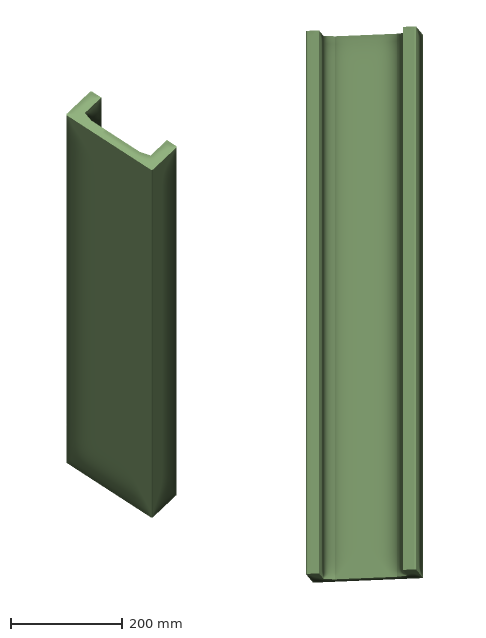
import cadquery as cq

width = 201.0
depth = 71.0
length = 1000.0

flange_thickness = 24.0
web_thickness = 19.0
outer_radius = 3.0
haunch_run = 20.0
haunch_rise = 6.0

half_width = width / 2
inner_half_width = half_width - flange_thickness
floor_half_width = inner_half_width - haunch_run
front_y = -depth / 2
back_y = depth / 2
floor_y = front_y + web_thickness
haunch_y = floor_y + haunch_rise


def make_outer_bar():
    """Solid bar with its four long edges rounded."""
    bar = cq.Workplane("XY").box(width, depth, length)
    return bar.edges("|Z").fillet(outer_radius)


def make_trough():
    """Full-length trough, open to +Y, with sloped haunches beside the floor."""
    return (
        cq.Workplane("XY", origin=(0, 0, -length / 2))
        .moveTo(-inner_half_width, back_y)
        .lineTo(-inner_half_width, haunch_y)
        .lineTo(-floor_half_width, floor_y)
        .lineTo(floor_half_width, floor_y)
        .lineTo(inner_half_width, haunch_y)
        .lineTo(inner_half_width, back_y)
        .close()
        .extrude(length)
    )


result = make_outer_bar().cut(make_trough())